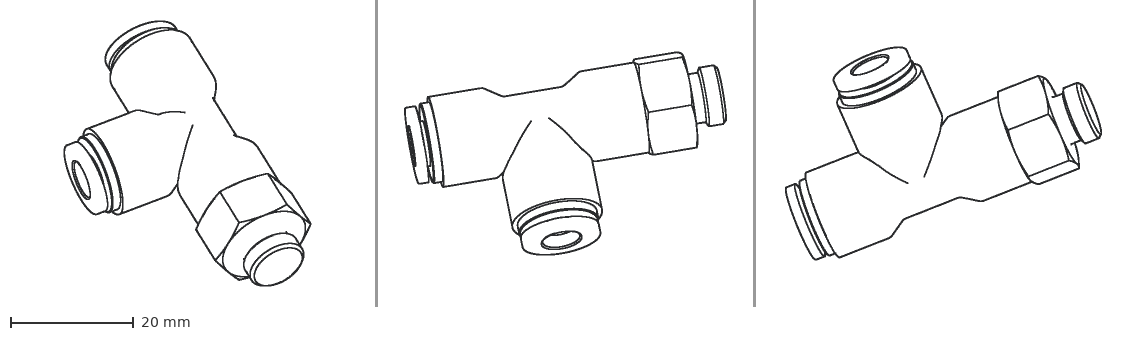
import cadquery as cq
import math

LEFT_PORT = 0
BRANCH_PORT = 90
RIGHT_SIDE = 180

flange_end = 20.95
flange_back = 19.3
ring_end = 18.55
housing_end = 17.0
taper_outer = 8.05
taper_inner = 4.95

housing_diameter = 14.9
neck_diameter = 10.95
taper_fillet = 1.1
bore_diameter = 6.2
bore_floor = taper_outer

ring_diameter = 13.15
ring_chamfer = 0.15

flange_width = 12.95
flange_height = 10.8
flange_edge_fillet = 0.2
stem_diameter = 7.5
stem_fillet = 0.15
mouth_chamfer = 0.25

hex_across_flats = 15.0
hex_end = 25.0
hex_chamfer_angle = 20
relief_diameter = 8.2
relief_end = 27.0
relief_fillet = 0.35
thread_diameter = 9.75
thread_start = 27.4
connector_end = 30.3
thread_chamfer = 0.5


def cylinder(diameter, start, end):
    """Round bar on the -X axis between two distances from the origin."""
    return cq.Workplane("YZ", origin=(-start, 0, 0)).circle(diameter / 2).extrude(start - end)


def turn_to(port, body):
    """Turn a body from the -X axis to its port."""
    return body.rotate((0, 0, 0), (0, 0, 1), port)


def make_housing_arm():
    """One arm: narrow neck, conical taper with rounded ends, and the wide socket."""
    outline = [
        (0, 0),
        (0, neck_diameter / 2),
        (-taper_inner, neck_diameter / 2),
        (-taper_outer, housing_diameter / 2),
        (-housing_end, housing_diameter / 2),
        (-housing_end, 0),
    ]
    arm = cq.Workplane("XY").polyline(outline).close().revolve(360, (0, 0, 0), (1, 0, 0))
    return arm.faces("%CONE").edges().fillet(taper_fillet)


def make_housing():
    """Tee of three equal arms, with a blind tube bore in the left and branch sockets."""
    arm = make_housing_arm()
    housing = arm.union(turn_to(RIGHT_SIDE, arm)).union(turn_to(BRANCH_PORT, arm))
    bore = cylinder(bore_diameter, bore_floor, housing_end)
    for port in (LEFT_PORT, BRANCH_PORT):
        housing = housing.cut(turn_to(port, bore))
    return housing


def make_ring():
    """Retaining ring seated on the end of a socket."""
    ring = cylinder(ring_diameter, housing_end, ring_end).faces("<X").edges().chamfer(ring_chamfer)
    return ring.cut(cylinder(bore_diameter, housing_end, ring_end))


def make_sleeve():
    """Release sleeve: an oval flange, wider than it is high, on a short round stem."""
    flange = (
        cq.Workplane("YZ", origin=(-flange_back, 0, 0))
        .ellipse(flange_width / 2, flange_height / 2)
        .extrude(flange_back - flange_end)
        .faces("<X").edges().fillet(flange_edge_fillet)
    )
    sleeve = flange.union(cylinder(stem_diameter, ring_end, flange_back))
    stem_root = cq.selectors.NearestToPointSelector((-flange_back, 0, 0))
    sleeve = sleeve.edges("%CIRCLE").edges(stem_root).fillet(stem_fillet)
    sleeve = sleeve.cut(cylinder(bore_diameter, ring_end, flange_end))
    return sleeve.faces("<X").edges("%CIRCLE").chamfer(mouth_chamfer)


def make_hexagon():
    """Hexagon with two flats facing up and down and conical chamfers on both ends."""
    corner_radius = hex_across_flats / math.sqrt(3)
    chamfer_radius = hex_across_flats / 2
    chamfer_length = (corner_radius - chamfer_radius) * math.tan(math.radians(hex_chamfer_angle))
    prism = (
        cq.Workplane("YZ", origin=(housing_end, 0, 0))
        .polygon(6, 2 * corner_radius)
        .extrude(hex_end - housing_end)
    )
    envelope = (
        cq.Workplane("YZ", origin=(housing_end, 0, 0))
        .circle(corner_radius)
        .extrude(hex_end - housing_end)
        .edges("%CIRCLE").chamfer(chamfer_length, corner_radius - chamfer_radius)
    )
    return prism.intersect(envelope)


def make_spigot():
    """Threaded end with a smooth thread envelope: filleted relief neck, sloped shoulder, chamfered thread."""
    relief_radius = relief_diameter / 2
    thread_radius = thread_diameter / 2
    arc_sag = relief_fillet * (1 - math.sqrt(0.5))
    outline = (
        cq.Workplane("XY")
        .moveTo(hex_end, 0)
        .lineTo(hex_end, relief_radius + relief_fillet)
        .threePointArc(
            (hex_end + arc_sag, relief_radius + arc_sag),
            (hex_end + relief_fillet, relief_radius),
        )
        .lineTo(relief_end, relief_radius)
        .lineTo(thread_start, thread_radius)
        .lineTo(connector_end - thread_chamfer, thread_radius)
        .lineTo(connector_end, thread_radius - thread_chamfer)
        .lineTo(connector_end, 0)
        .close()
    )
    return outline.revolve(360, (0, 0, 0), (1, 0, 0))


def make_connector():
    """Male connector: hexagon and threaded end in one piece."""
    return make_hexagon().union(make_spigot())


housing = make_housing()
connector = make_connector()
rings = []
sleeves = []
for port in (LEFT_PORT, BRANCH_PORT):
    rings.append(turn_to(port, make_ring()).val())
    sleeves.append(turn_to(port, make_sleeve()).val())

result = cq.Compound.makeCompound([housing.val(), connector.val(), *rings, *sleeves])